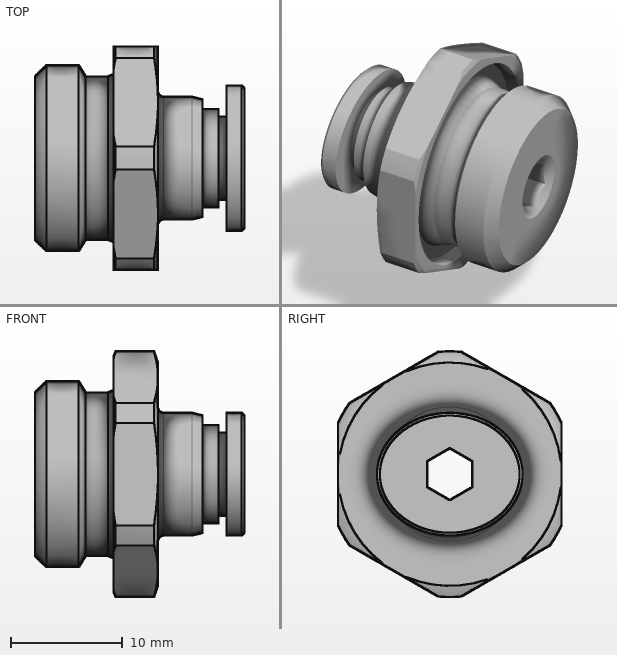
import cadquery as cq
import math

HEX_START = 7.02
HEX_LENGTH = 3.98
HEX_END = HEX_START + HEX_LENGTH
TOTAL_LENGTH = 18.75

THREAD_RADIUS = 8.32
NECK_RADIUS = 7.33
LEAD_CHAMFER_LENGTH = 1.03
THREAD_END = 3.92
NECK_START = 4.53
NECK_FLARE_START = 6.53
NECK_FLARE_RADIUS = 7.96

HEX_ACROSS_FLATS = 20.0
HEX_CORNER_RADIUS = 11.0
INLET_CHAMFER_RADIUS = 10.54
INLET_CHAMFER_LENGTH = 0.2
OUTLET_CHAMFER_RADIUS = 9.99
OUTLET_CHAMFER_LENGTH = 0.35

RECESS_DEPTH = 1.12
RECESS_FLOOR = HEX_START + RECESS_DEPTH
RECESS_MOUTH_RADIUS = 9.45
RECESS_FLOOR_RADIUS = 9.2

BODY_RADIUS = 5.5
BODY_FILLET = 0.5
BODY_TAPER_START = 14.04
BODY_END = 15.0
BODY_END_RADIUS = 5.25
STEP_RADIUS = 4.4
STEP_END = 16.43
STEM_RADIUS = 3.75

COLLAR_LENGTH = 1.63
COLLAR_START = TOTAL_LENGTH - COLLAR_LENGTH
COLLAR_HALF_WIDTH = 6.51
COLLAR_HALF_HEIGHT = 5.5
COLLAR_CHAMFER = 0.26

SOCKET_ACROSS_FLATS = 4.0
SOCKET_MOUTH_RADIUS = 3.0
SOCKET_MOUTH_DEPTH = 0.57


def revolve_profile(points):
    """Revolve a closed (x, radius) outline about the X axis."""
    return cq.Workplane("XY").polyline(points).close().revolve(360, (0, 0, 0), (1, 0, 0))


def hex_prism(across_flats, start, length):
    """Hexagonal prism along X with two flats facing +Y and -Y."""
    across_corners = across_flats / math.cos(math.radians(30))
    return (
        cq.Workplane("YZ", origin=(start, 0, 0))
        .transformed(rotate=(0, 0, 90))
        .polygon(6, across_corners)
        .extrude(length)
    )


def make_threaded_end():
    return revolve_profile([
        (0, 0),
        (0, NECK_RADIUS),
        (LEAD_CHAMFER_LENGTH, THREAD_RADIUS),
        (THREAD_END, THREAD_RADIUS),
        (NECK_START, NECK_RADIUS),
        (NECK_FLARE_START, NECK_RADIUS),
        (RECESS_FLOOR, NECK_FLARE_RADIUS),
        (RECESS_FLOOR, 0),
    ])


def make_flange():
    """Hexagon with turned corners, chamfered faces and a recess in the inlet face."""
    turned_blank = revolve_profile([
        (RECESS_FLOOR, 0),
        (RECESS_FLOOR, RECESS_FLOOR_RADIUS),
        (HEX_START, RECESS_MOUTH_RADIUS),
        (HEX_START, INLET_CHAMFER_RADIUS),
        (HEX_START + INLET_CHAMFER_LENGTH, HEX_CORNER_RADIUS),
        (HEX_END - OUTLET_CHAMFER_LENGTH, HEX_CORNER_RADIUS),
        (HEX_END, OUTLET_CHAMFER_RADIUS),
        (HEX_END, 0),
    ])
    return turned_blank.intersect(hex_prism(HEX_ACROSS_FLATS, HEX_START, HEX_LENGTH))


def make_tube_end():
    fillet_middle = BODY_FILLET * (1 - math.sqrt(0.5))
    return (
        cq.Workplane("XY")
        .moveTo(HEX_END, 0)
        .lineTo(HEX_END, BODY_RADIUS + BODY_FILLET)
        .threePointArc(
            (HEX_END + fillet_middle, BODY_RADIUS + fillet_middle),
            (HEX_END + BODY_FILLET, BODY_RADIUS),
        )
        .lineTo(BODY_TAPER_START, BODY_RADIUS)
        .lineTo(BODY_END, BODY_END_RADIUS)
        .lineTo(BODY_END, STEP_RADIUS)
        .lineTo(STEP_END, STEP_RADIUS)
        .lineTo(STEP_END, STEM_RADIUS)
        .lineTo(COLLAR_START, STEM_RADIUS)
        .lineTo(COLLAR_START, 0)
        .close()
        .revolve(360, (0, 0, 0), (1, 0, 0))
    )


def make_collar():
    return (
        cq.Workplane("YZ", origin=(COLLAR_START, 0, 0))
        .ellipse(COLLAR_HALF_WIDTH, COLLAR_HALF_HEIGHT)
        .extrude(COLLAR_LENGTH)
        .faces(">X")
        .chamfer(COLLAR_CHAMFER)
    )


def make_hole():
    """Hexagonal through hole with a conical mouth at the inlet end."""
    mouth = revolve_profile([
        (0, 0),
        (0, SOCKET_MOUTH_RADIUS),
        (SOCKET_MOUTH_DEPTH, SOCKET_ACROSS_FLATS / 2),
        (SOCKET_MOUTH_DEPTH, 0),
    ])
    return hex_prism(SOCKET_ACROSS_FLATS, 0, TOTAL_LENGTH).union(mouth)


body = make_threaded_end().union(make_flange()).union(make_tube_end()).union(make_collar())
result = body.cut(make_hole())